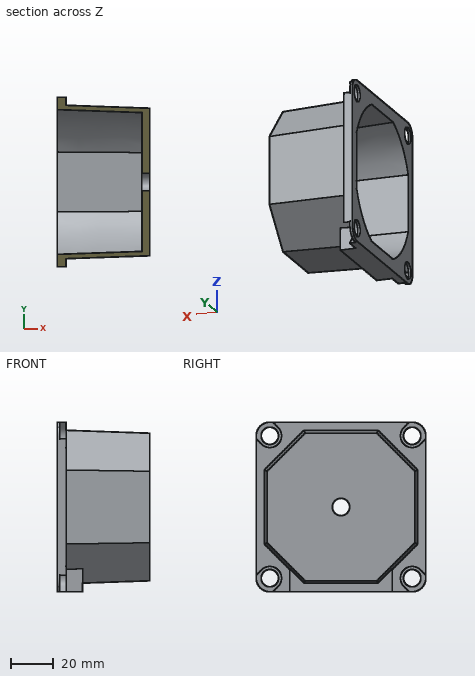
import cadquery as cq
import math

length = 43.5
flange_size = 79.5
flange_thickness = 4.25
corner_radius = 6.5
draft_angle = 2.0

body_width = 71.9
body_flat = 34.6

cavity_width = 67.6
cavity_diameter = 73.2
floor_thickness = 3.8
cavity_depth = length - floor_thickness
floor_hole_diameter = 8.0

hole_diameter = 8.0
hole_spacing = 66.6
relief_width = 11.0
relief_floor = 1.2
backing_thickness = flange_thickness - relief_floor
relief_length = flange_size / 4

foot_width = 48.0
foot_end = 12.0


def make_flange():
    """Thin rounded front lip with a square-cornered backing that has a relief at each hole."""
    lip = (
        cq.Workplane("YZ")
        .rect(flange_size, flange_size)
        .extrude(relief_floor)
        .edges("|X")
        .fillet(corner_radius)
    )
    backing = (
        cq.Workplane("YZ", origin=(relief_floor, 0, 0))
        .rect(flange_size, flange_size)
        .extrude(backing_thickness)
    )
    for diagonal in (45, 135, 225, 315):
        backing = backing.cut(make_relief(diagonal))
    holes = (
        cq.Workplane("YZ")
        .rect(hole_spacing, hole_spacing, forConstruction=True)
        .vertices()
        .circle(hole_diameter / 2)
        .extrude(flange_thickness)
    )
    return lip.union(backing).cut(holes)


def make_relief(angle):
    """Round-ended slot around one hole, open outwards along the diagonal."""
    hole_distance = hole_spacing / math.sqrt(2)
    slot = (
        cq.Workplane("YZ", origin=(relief_floor, 0, 0))
        .center(hole_distance + relief_length / 2, 0)
        .slot2D(relief_length + relief_width, relief_width)
        .extrude(backing_thickness)
    )
    return slot.rotate((0, 0, 0), (1, 0, 0), angle)


def make_body():
    """Octagonal housing that narrows towards its closed end."""
    half = body_width / 2
    flat = body_flat / 2
    outline = [
        (half, -flat),
        (half, flat),
        (flat, half),
        (-flat, half),
        (-half, flat),
        (-half, -flat),
        (-flat, -half),
        (flat, -half),
    ]
    return (
        cq.Workplane("YZ", origin=(flange_thickness, 0, 0))
        .polyline(outline)
        .close()
        .extrude(length - flange_thickness, taper=draft_angle)
    )


def make_foot():
    """Block from the lower flange edge up into the housing."""
    bottom = -flange_size / 2
    top = -body_flat / 2
    depth = foot_end - flange_thickness
    return (
        cq.Workplane("XY", origin=(flange_thickness, 0, bottom))
        .box(depth, foot_width, top - bottom, centered=(False, True, False))
    )


def make_cavity():
    """Drafted square pocket with its corners bounded by a cone."""
    square = cq.Workplane("YZ").rect(cavity_width, cavity_width).extrude(cavity_depth, taper=draft_angle)
    cone = cq.Workplane("YZ").circle(cavity_diameter / 2).extrude(cavity_depth, taper=draft_angle)
    return square.intersect(cone)


def make_floor_hole():
    """Central hole through the closed end."""
    return cq.Workplane("YZ").circle(floor_hole_diameter / 2).extrude(length)


result = (
    make_flange()
    .union(make_body())
    .union(make_foot())
    .cut(make_cavity())
    .cut(make_floor_hole())
)